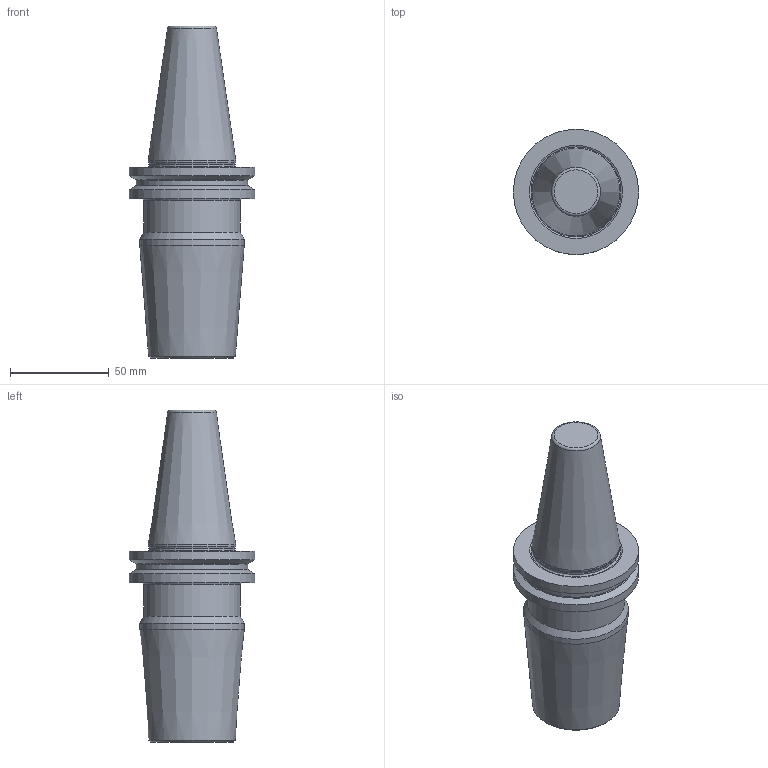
import cadquery as cq
import math


gauge_radius = 44.45 / 2
taper_length = 68.4
taper_slope = 7 / 48
taper_end_radius = gauge_radius - taper_length * taper_slope
taper_end_fillet = 1.3

collar_bottom = -0.9
undercut_shank_depth = 0.3
undercut_entry_angle = 20
undercut_face_depth = 0.4
undercut_fillet = 0.9
undercut_outer_radius = 23.6

flange_radius = 63.55 / 2
flange_top = -3.2
flange_bottom = -19.1
gripper_groove_middle = -11.1
gripper_groove_width = 7.0
gripper_floor_radius = 28.3
gripper_flank_angle = 60
gripper_corner_fillet = 0.5

neck_radius = 24.5
neck_bottom = -36.2
neck_fillet = 1.0

body_radius = 26.5
body_top = -39.7
body_band_bottom = -42.8
nose_radius = 22.0
nose_bottom = -100.0
nose_chamfer = 0.9


def revolve_about_z(profile):
    """Turn a closed (radius, height) profile a full circle about Z."""
    return profile.revolve(360, (0, 0, 0), (0, 1, 0))


def make_blank():
    """The whole turned outline, apart from the gripper groove."""
    relief_radius = gauge_radius - undercut_shank_depth
    entry_height = undercut_shank_depth / math.tan(math.radians(undercut_entry_angle))
    undercut_floor = flange_top - undercut_face_depth
    undercut_fillet_offset = undercut_fillet * (1 - math.sqrt(0.5))
    neck_fillet_offset = neck_fillet * (1 - math.sqrt(0.5))
    profile = (
        cq.Workplane("XZ")
        .moveTo(0, taper_length)
        .lineTo(taper_end_radius, taper_length)
        .lineTo(gauge_radius, 0)
        .lineTo(gauge_radius, collar_bottom)
        .lineTo(relief_radius, collar_bottom - entry_height)
        .lineTo(relief_radius, undercut_floor + undercut_fillet)
        .threePointArc(
            (relief_radius + undercut_fillet_offset, undercut_floor + undercut_fillet_offset),
            (relief_radius + undercut_fillet, undercut_floor),
        )
        .lineTo(undercut_outer_radius, flange_top)
        .lineTo(flange_radius, flange_top)
        .lineTo(flange_radius, flange_bottom)
        .lineTo(neck_radius + neck_fillet, flange_bottom)
        .threePointArc(
            (neck_radius + neck_fillet_offset, flange_bottom - neck_fillet_offset),
            (neck_radius, flange_bottom - neck_fillet),
        )
        .lineTo(neck_radius, neck_bottom)
        .lineTo(body_radius, body_top)
        .lineTo(body_radius, body_band_bottom)
        .lineTo(nose_radius, nose_bottom + nose_chamfer)
        .lineTo(nose_radius - nose_chamfer, nose_bottom)
        .lineTo(0, nose_bottom)
        .close()
    )
    return revolve_about_z(profile).faces(">Z").edges().fillet(taper_end_fillet)


def make_gripper_cutter():
    """The V-shaped ring removed from the flange rim, with rounded floor corners."""
    flank_height = (flange_radius - gripper_floor_radius) / math.tan(math.radians(gripper_flank_angle))
    half_width = gripper_groove_width / 2
    half_floor = half_width - flank_height
    profile = (
        cq.Workplane("XZ")
        .moveTo(flange_radius, gripper_groove_middle + half_width)
        .lineTo(gripper_floor_radius, gripper_groove_middle + half_floor)
        .lineTo(gripper_floor_radius, gripper_groove_middle - half_floor)
        .lineTo(flange_radius, gripper_groove_middle - half_width)
        .close()
    )
    floor_corners = cq.selectors.RadiusNthSelector(0)
    return revolve_about_z(profile).edges("%CIRCLE").edges(floor_corners).fillet(gripper_corner_fillet)


result = make_blank().cut(make_gripper_cutter())